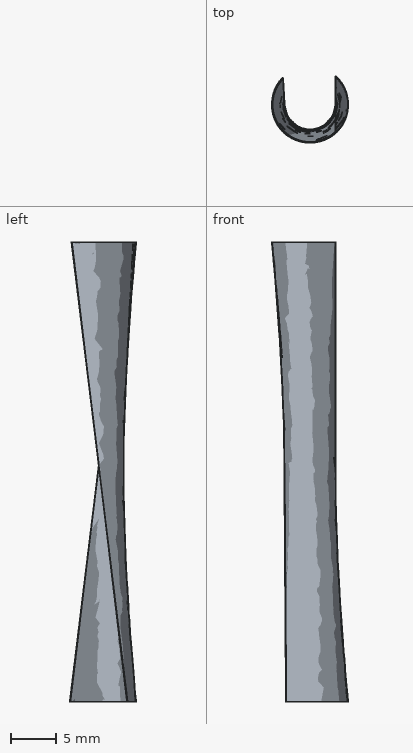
import cadquery as cq
import math

length = 50.84
outer_radius = 4.23
wall = 0.1
inner_radius = outer_radius - wall

trough_span = 177.0
twist = 95.0
bottom_end = 47.8
bottom_start = bottom_end - trough_span
top_end = bottom_end - twist
top_start = bottom_start - twist


def rim_point(radius, angle, z):
    """Point on a rim circle."""
    turn = math.radians(angle)
    return cq.Vector(radius * math.cos(turn), radius * math.sin(turn), z)


def rim_arc(radius, start, end, z):
    """Rim arc running anticlockwise from start to end."""
    middle = (start + end) / 2
    return cq.Edge.makeThreePointArc(
        rim_point(radius, start, z),
        rim_point(radius, middle, z),
        rim_point(radius, end, z),
    )


def bottom_arc(radius):
    return rim_arc(radius, bottom_start, bottom_end, 0)


def top_arc(radius):
    return rim_arc(radius, top_start, top_end, length)


def twisted_skin(radius):
    """Hyperboloid-like skin of straight lines joining the two rim arcs."""
    return cq.Face.makeRuledSurface(bottom_arc(radius), top_arc(radius))


def rim_face(arc_at):
    """Thin ring-sector face between the inner and outer arcs of one rim."""
    return cq.Face.makeRuledSurface(arc_at(inner_radius), arc_at(outer_radius))


def side_face(bottom_angle, top_angle):
    """Narrow twisted face along one free edge of the trough."""
    inner_line = cq.Edge.makeLine(
        rim_point(inner_radius, bottom_angle, 0),
        rim_point(inner_radius, top_angle, length),
    )
    outer_line = cq.Edge.makeLine(
        rim_point(outer_radius, bottom_angle, 0),
        rim_point(outer_radius, top_angle, length),
    )
    return cq.Face.makeRuledSurface(inner_line, outer_line)


def twisted_trough():
    """Closed thin-walled solid bounded by two skins, two rims and two free edges."""
    faces = [
        twisted_skin(outer_radius),
        twisted_skin(inner_radius),
        rim_face(bottom_arc),
        rim_face(top_arc),
        side_face(bottom_start, top_start),
        side_face(bottom_end, top_end),
    ]
    return cq.Solid.makeSolid(cq.Shell.makeShell(faces))


result = cq.Workplane("XY").newObject([twisted_trough()])